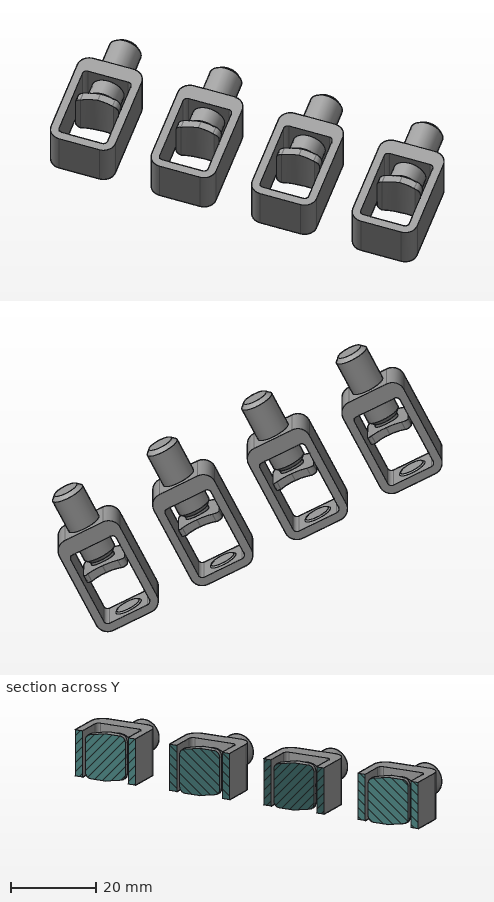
import cadquery as cq
import math

CLAMP_COUNT = 4
ROW_LENGTH = 91.0

CAGE_WIDTH = 16.0
CAGE_LENGTH = 25.0
CAGE_HEIGHT = 11.5
CAGE_CORNER_RADIUS = 3.0
SIDE_WALL = 2.0
SCREW_WALL = 4.0
WINDOW_CORNER_RADIUS = 1.0
CLAMP_PITCH = (ROW_LENGTH - CAGE_WIDTH) / (CLAMP_COUNT - 1)

SEAT_TOP_RADIUS = 3.0
SEAT_HEIGHT = 0.4
SEAT_BASE_RADIUS = SEAT_TOP_RADIUS + SEAT_HEIGHT

SCREW_RADIUS = 4.0
SCREW_CHAMFER = 1.0
NECK_RADIUS = SCREW_RADIUS - SCREW_CHAMFER
SCREW_END_Y = 34.5
SHANK_START_Y = 17.0
NECK_END_Y = SHANK_START_Y - SCREW_CHAMFER

PLATE_WIDTH = 10.7
PLATE_HEIGHT = 11.7
PLATE_SLOPE = 11.0
PLATE_CORNER_RADIUS = 1.55
PLATE_BACK_Y = 15.5
PLATE_BACK_RISE = 0.8
PLATE_FRONT_Y = 12.9
PLATE_HOLLOW_DEPTH = 0.6
PLATE_HOLLOW_WIDTH = 8.2


def make_cage():
    """Frame with a rounded rectangular window; its front face lies at Y = 0."""
    window_width = CAGE_WIDTH - 2 * SIDE_WALL
    window_length = CAGE_LENGTH - SIDE_WALL - SCREW_WALL
    window = (
        cq.Workplane("XY")
        .box(window_width, window_length, CAGE_HEIGHT, centered=(True, False, True))
        .edges("|Z")
        .fillet(WINDOW_CORNER_RADIUS)
        .translate((0, SIDE_WALL, 0))
    )
    return (
        cq.Workplane("XY")
        .box(CAGE_WIDTH, CAGE_LENGTH, CAGE_HEIGHT, centered=(True, False, True))
        .edges("|Z")
        .fillet(CAGE_CORNER_RADIUS)
        .cut(window)
    )


def make_seat():
    """Low truncated cone on the front wall, coaxial with the screw."""
    root_y = SIDE_WALL / 2
    seat_top_y = SIDE_WALL + SEAT_HEIGHT
    return (
        cq.Workplane("XY")
        .moveTo(0, root_y)
        .lineTo(SEAT_BASE_RADIUS, root_y)
        .lineTo(SEAT_BASE_RADIUS, SIDE_WALL)
        .lineTo(SEAT_TOP_RADIUS, seat_top_y)
        .lineTo(0, seat_top_y)
        .close()
        .revolve(360, (0, 0, 0), (0, 1, 0))
    )


def make_screw():
    """Screw shank and neck, revolved about the Y axis."""
    hollow_y = PLATE_FRONT_Y + PLATE_HOLLOW_DEPTH
    neck_start_y = (hollow_y + PLATE_BACK_Y) / 2
    return (
        cq.Workplane("XY")
        .moveTo(0, neck_start_y)
        .lineTo(NECK_RADIUS, neck_start_y)
        .lineTo(NECK_RADIUS, NECK_END_Y)
        .lineTo(SCREW_RADIUS, SHANK_START_Y)
        .lineTo(SCREW_RADIUS, SCREW_END_Y - SCREW_CHAMFER)
        .lineTo(NECK_RADIUS, SCREW_END_Y)
        .lineTo(0, SCREW_END_Y)
        .close()
        .revolve(360, (0, 0, 0), (0, 1, 0))
    )


def make_plate():
    """Arched plate trimmed to a rounded outline that repeats after half a turn about Y."""
    half_width = PLATE_WIDTH / 2
    half_height = PLATE_HEIGHT / 2
    half_hollow = PLATE_HOLLOW_WIDTH / 2
    low_height = half_height - half_width * math.tan(math.radians(PLATE_SLOPE))
    end_y = PLATE_BACK_Y - PLATE_BACK_RISE

    arch = (
        cq.Workplane("XY")
        .moveTo(-half_width, PLATE_FRONT_Y)
        .lineTo(-half_hollow, PLATE_FRONT_Y)
        .threePointArc((0, PLATE_FRONT_Y + PLATE_HOLLOW_DEPTH), (half_hollow, PLATE_FRONT_Y))
        .lineTo(half_width, PLATE_FRONT_Y)
        .lineTo(half_width, end_y)
        .threePointArc((0, PLATE_BACK_Y), (-half_width, end_y))
        .close()
        .extrude(half_height, both=True)
    )
    outline = (
        cq.Workplane("XZ")
        .moveTo(-half_width, low_height)
        .lineTo(0, half_height)
        .lineTo(half_width, half_height)
        .lineTo(half_width, -low_height)
        .lineTo(0, -half_height)
        .lineTo(-half_width, -half_height)
        .close()
        .extrude(-CAGE_LENGTH)
        .edges("|Y and (<X or >X)")
        .fillet(PLATE_CORNER_RADIUS)
    )
    return arch.intersect(outline)


def make_clamp():
    """One clamp: cage, seat, screw and pressure plate as a single solid."""
    return make_cage().union(make_seat()).union(make_screw()).union(make_plate())


clamp = make_clamp()
first_x = (CAGE_WIDTH - ROW_LENGTH) / 2
clamps = [
    clamp.translate((first_x + index * CLAMP_PITCH, 0, 0)).val()
    for index in range(CLAMP_COUNT)
]

result = cq.Compound.makeCompound(clamps)